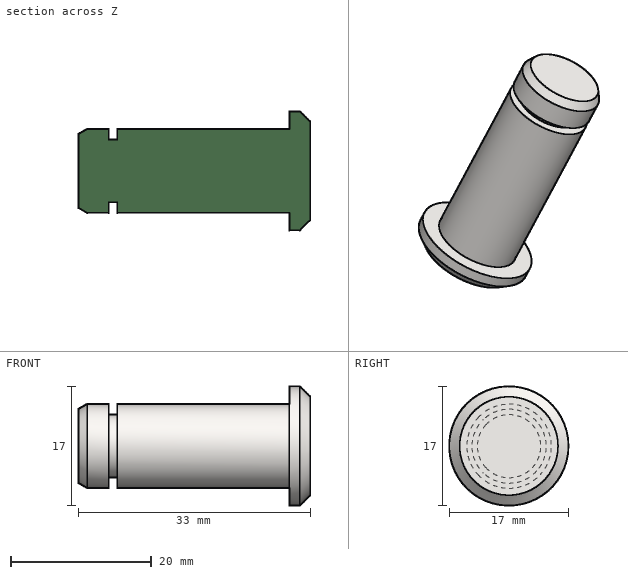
import cadquery as cq
import math

total_length = 33.0
shank_diameter = 12.0
head_diameter = 17.0
head_thickness = 3.0
head_chamfer = 1.5
tip_chamfer_length = 1.25
tip_chamfer_angle = 30.0
groove_diameter = 9.0
groove_width = 1.15
groove_start = 4.35

shank_radius = shank_diameter / 2
head_radius = head_diameter / 2
groove_radius = groove_diameter / 2
head_start = total_length - head_thickness
tip_radius = shank_radius - tip_chamfer_length * math.tan(math.radians(tip_chamfer_angle))


def pin_body():
    """Revolve the half profile of the tapered tip, shank and chamfered head about X."""
    half_profile = [
        (0, 0),
        (0, tip_radius),
        (tip_chamfer_length, shank_radius),
        (head_start, shank_radius),
        (head_start, head_radius),
        (total_length - head_chamfer, head_radius),
        (total_length, head_radius - head_chamfer),
        (total_length, 0),
    ]
    return cq.Workplane("XY").polyline(half_profile).close().revolve(360, (0, 0, 0), (1, 0, 0))


def retaining_groove():
    """Ring of material removed from the shank for a retaining clip."""
    return (
        cq.Workplane("YZ")
        .workplane(offset=groove_start)
        .circle(shank_radius)
        .circle(groove_radius)
        .extrude(groove_width)
    )


result = pin_body().cut(retaining_groove())